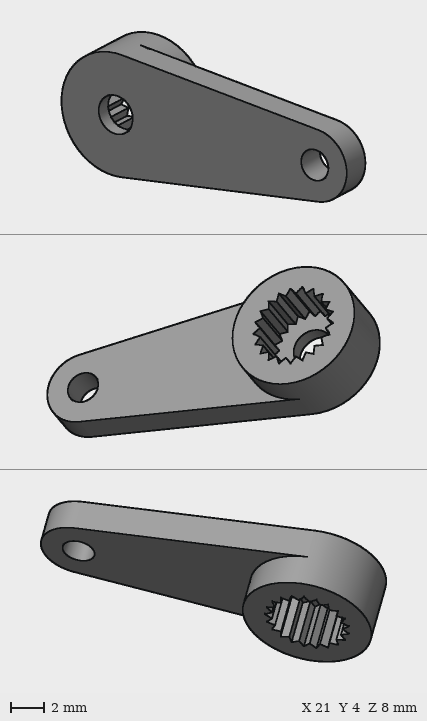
import cadquery as cq
import math

overall_length = 21.0
hub_diameter = 8.0
hub_radius = hub_diameter / 2
hub_height = hub_diameter / 2
arm_thickness = hub_height / 2

tip_radius = 2.35
tip_hole_diameter = 2.0
tip_x = overall_length - tip_radius
hub_x = hub_radius

screw_hole_diameter = 2.5
screw_hole_depth = arm_thickness / 2
socket_root_diameter = 5.25
socket_tooth_depth = 0.42
tooth_count = 21


def cylinder_along_y(center_x, radius, length):
    """Solid cylinder running from the front face toward +Y."""
    return cq.Workplane("XZ", origin=(center_x, 0, 0)).circle(radius).extrude(-length)


def tapered_arm():
    """Flat arm from the hub to its round tip, with straight sides tangent to both."""
    lean = math.asin((hub_radius - tip_radius) / (tip_x - hub_x))
    hub_tangent_x = hub_x + hub_radius * math.sin(lean)
    hub_tangent_z = hub_radius * math.cos(lean)
    tip_tangent_x = tip_x + tip_radius * math.sin(lean)
    tip_tangent_z = tip_radius * math.cos(lean)
    return (
        cq.Workplane("XZ")
        .moveTo(hub_tangent_x, hub_tangent_z)
        .lineTo(tip_tangent_x, tip_tangent_z)
        .threePointArc((overall_length, 0), (tip_tangent_x, -tip_tangent_z))
        .lineTo(hub_tangent_x, -hub_tangent_z)
        .close()
        .extrude(-arm_thickness)
    )


def toothed_socket():
    """Cutter for the V-toothed socket, open at the back of the hub."""
    root_radius = socket_root_diameter / 2
    crest_radius = root_radius - socket_tooth_depth
    half_pitch = math.pi / tooth_count
    outline = []
    for step in range(2 * tooth_count):
        radius = root_radius if step % 2 == 0 else crest_radius
        angle = step * half_pitch
        outline.append((radius * math.cos(angle), radius * math.sin(angle)))
    return (
        cq.Workplane("XZ", origin=(hub_x, screw_hole_depth, 0))
        .polyline(outline)
        .close()
        .extrude(screw_hole_depth - hub_height)
    )


hub = cylinder_along_y(hub_x, hub_radius, hub_height)
screw_hole = cylinder_along_y(hub_x, screw_hole_diameter / 2, hub_height)
tip_hole = cylinder_along_y(tip_x, tip_hole_diameter / 2, arm_thickness)

result = hub.union(tapered_arm()).cut(screw_hole).cut(tip_hole).cut(toothed_socket())